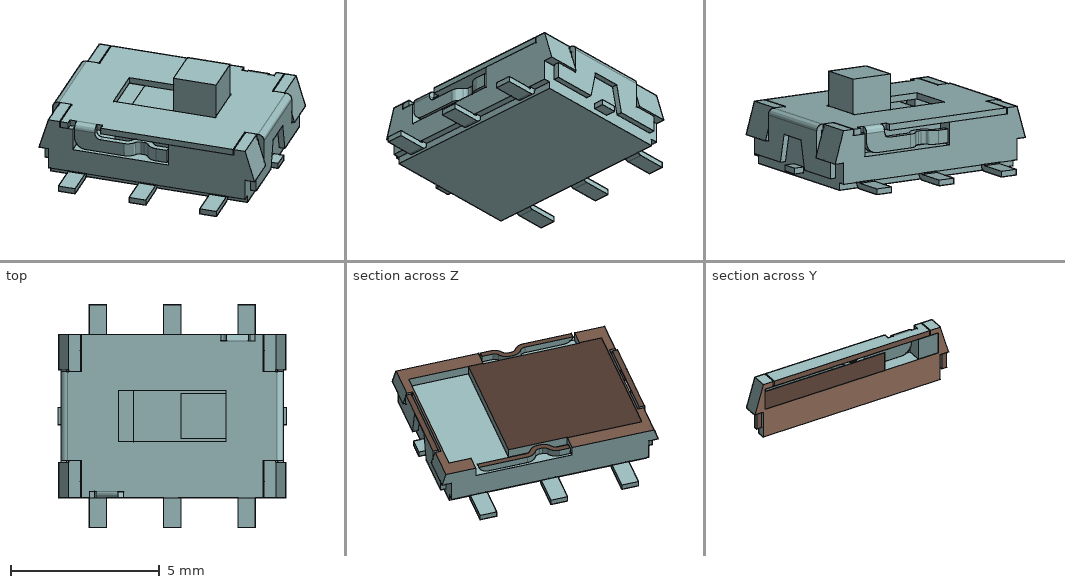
import cadquery as cq
import math


body_length = 6.97
body_width = 5.5
base_width = 5.005
base_height = 0.255
overall_length = 7.7
overall_width = 7.5

sheet = 0.2
cover_top = 2.1
cover_bend_radius = 0.215
cover_bottom = cover_top - cover_bend_radius
cover_length = 7.485
flap_bottom = 0.4
flap_width = 4.68
flap_cutout_top = 1.4
flap_cutout_bottom_width = 1.485
flap_cutout_top_width = 1.04

post_width_inner = 2.99
flare_width_inner = 3.11
post_gap = 0.03
cover_notch_x = 3.06
post_inner_x = cover_notch_x + post_gap
flare_bottom = 0.985
flare_length = 7.64

opening_length = 3.6
opening_width = 1.71
knob_size = 1.51
knob_top = 3.3
knob_x = (opening_length - knob_size) / 2
plate_length = 4.7
plate_width = 4.405
plate_top = 1.8
cavity_length = plate_length + 2 * knob_x
cavity_floor = 1.1

window_left = -2.62
window_right = 0.77

spring_left = -2.56
spring_tip = 0.715
spring_bottom = 1.185
spring_top = 1.655
spring_root_right = -1.83
spring_outer_corner_radius = 2 * sheet
spring_inner_corner_radius = sheet
spring_notch_left = -2.78
spring_notch_right = -1.63
dip_x = -0.24
dip_flat = 0.11
dip_angle = math.radians(58)
dip_radius = 1.5 * sheet

lead_width = 0.59
lead_thickness = 0.2
lead_pitch = 2.5
end_tab_bottom = 0.2
end_tab_top = 0.4


def block(x_min, x_max, y_min, y_max, z_min, z_max):
    """Axis-aligned box between the given limits."""
    return (
        cq.Workplane("XY", origin=(x_min, y_min, z_min))
        .box(x_max - x_min, y_max - y_min, z_max - z_min, centered=False)
    )


def centred_block(length, width, z_min, z_max, x=0):
    """Box centred in Y, and in X about the given position."""
    return block(x - length / 2, x + length / 2, -width / 2, width / 2, z_min, z_max)


def half_turn(shape):
    """The same shape turned half a turn about Z."""
    return shape.rotate((0, 0, 0), (0, 0, 1), 180)


def corner_post():
    """Post of the +X, +Y corner, with the wedge that flares out over the end face."""
    post = block(
        post_inner_x, body_length / 2, post_width_inner / 2, body_width / 2, cover_bottom, cover_top
    )
    flare = (
        cq.Workplane("XZ", origin=(0, body_width / 2, 0))
        .moveTo(body_length / 2, cover_top)
        .lineTo(flare_length / 2, flare_bottom)
        .lineTo(body_length / 2, flare_bottom)
        .close()
        .extrude((body_width - flare_width_inner) / 2)
    )
    return post.union(flare)


def lead(x):
    """Flat lead of the +Y side that curves up against the base into the overhanging body."""
    bend_end = base_width / 2 + lead_thickness
    return (
        cq.Workplane("YZ", origin=(x - lead_width / 2, 0, 0))
        .moveTo(overall_width / 2, 0)
        .lineTo(bend_end, 0)
        .radiusArc((base_width / 2, lead_thickness), lead_thickness)
        .lineTo(base_width / 2, base_height)
        .lineTo(bend_end, base_height)
        .lineTo(bend_end, lead_thickness)
        .lineTo(overall_width / 2, lead_thickness)
        .close()
        .extrude(lead_width)
    )


def make_housing():
    housing = centred_block(body_length, base_width, 0, base_height)
    housing = housing.union(centred_block(body_length, body_width, base_height, cover_bottom))

    post = corner_post()
    far_post = post.mirror("YZ")
    for corner in (post, far_post, half_turn(post), half_turn(far_post)):
        housing = housing.union(corner)

    housing = housing.cut(centred_block(cavity_length, plate_width, cavity_floor, cover_bottom))
    window = block(
        window_left, window_right, -body_width / 2, -plate_width / 2, cavity_floor, cover_bottom
    )
    housing = housing.cut(window).cut(half_turn(window))

    for step in (-1, 0, 1):
        terminal = lead(step * lead_pitch)
        housing = housing.union(terminal).union(half_turn(terminal))
    end_tab = block(
        body_length / 2, overall_length / 2, -lead_width / 2, lead_width / 2, end_tab_bottom, end_tab_top
    )
    return housing.union(end_tab).union(half_turn(end_tab))


def end_flap():
    """Flap hanging from the bend at the +X end, with a shoulder below the posts and a cutout."""
    inner_x = cover_length / 2 - sheet
    neck = block(
        inner_x, cover_length / 2, -post_width_inner / 2, post_width_inner / 2, flare_bottom, cover_bottom
    )
    shoulder = block(inner_x, cover_length / 2, -flap_width / 2, flap_width / 2, flap_bottom, flare_bottom)
    cutout = (
        cq.Workplane("YZ", origin=(inner_x, 0, 0))
        .moveTo(-flap_cutout_bottom_width / 2, flap_bottom)
        .lineTo(-flap_cutout_top_width / 2, flap_cutout_top)
        .lineTo(flap_cutout_top_width / 2, flap_cutout_top)
        .lineTo(flap_cutout_bottom_width / 2, flap_bottom)
        .close()
        .extrude(sheet)
    )
    return neck.union(shoulder).cut(cutout)


def detent_spring():
    """L-shaped leaf of the -Y side: bent down from the cover, with an inward dip along its arm."""
    outer_y = -body_width / 2
    arc_run = dip_radius * math.sin(dip_angle)
    arc_rise = dip_radius * (1 - math.cos(dip_angle))
    dip_start = dip_x - dip_flat / 2 - 2 * arc_run
    path = (
        cq.Workplane("XY", origin=(0, outer_y + sheet / 2, 0))
        .moveTo(spring_left, 0)
        .lineTo(dip_start, 0)
        .tangentArcPoint((arc_run, arc_rise))
        .tangentArcPoint((arc_run, arc_rise))
        .line(dip_flat, 0)
        .tangentArcPoint((arc_run, -arc_rise))
        .tangentArcPoint((arc_run, -arc_rise))
        .lineTo(spring_tip, 0)
    )
    strip_height = cover_bottom - spring_bottom
    strip = (
        cq.Workplane("YZ", origin=(spring_left, outer_y + sheet / 2, spring_bottom + strip_height / 2))
        .rect(sheet, strip_height)
        .sweep(path)
    )
    outline = (
        block(spring_left, spring_tip, outer_y, 0, spring_bottom, cover_bottom)
        .edges("|Y and <X and <Z")
        .fillet(spring_outer_corner_radius)
    )
    above_arm = (
        block(spring_root_right, spring_tip, outer_y, 0, spring_top, cover_bottom)
        .edges("|Y and <X and <Z")
        .fillet(spring_inner_corner_radius)
    )
    leaf = strip.intersect(outline.cut(above_arm))
    root = bend(spring_root_right - spring_left, cover_bend_radius)
    return leaf.union(root.translate((spring_left, outer_y, cover_bottom)))


def bend(length, radius):
    """Quarter-round bend along X, rising from a vertical -Y side to a flat top."""
    return (
        cq.Workplane("YZ")
        .radiusArc((radius, radius), radius)
        .lineTo(radius, 0)
        .close()
        .extrude(length)
    )


def make_cover():
    bend_start_x = cover_length / 2 - cover_bend_radius
    cover = centred_block(2 * cover_notch_x, body_width, cover_bottom, cover_top)
    cover = cover.union(centred_block(2 * bend_start_x, post_width_inner, cover_bottom, cover_top))

    end = end_flap().union(
        bend(post_width_inner, cover_bend_radius)
        .rotate((0, 0, 0), (0, 0, 1), 90)
        .translate((cover_length / 2, -post_width_inner / 2, cover_bottom))
    )
    cover = cover.union(end).union(half_turn(end))

    cover = cover.cut(centred_block(opening_length, opening_width, cover_bottom, cover_top))
    notch = block(
        spring_notch_left,
        spring_notch_right,
        -body_width / 2,
        -body_width / 2 + cover_bend_radius,
        cover_bottom,
        cover_top,
    )
    cover = cover.cut(notch).cut(half_turn(notch))
    spring = detent_spring()
    return cover.union(spring).union(half_turn(spring))


def make_slider():
    plate = centred_block(plate_length, plate_width, cavity_floor, plate_top, knob_x)
    return plate.union(centred_block(knob_size, knob_size, plate_top, knob_top, knob_x))


housing = make_housing()
cover = make_cover()
slider = make_slider()

result = cq.Compound.makeCompound([housing.val(), cover.val(), slider.val()])